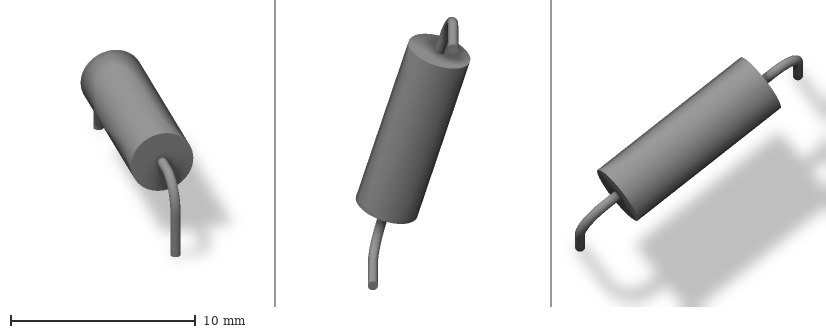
import cadquery as cq

body_diameter = 3.5
body_length = 10.0
lead_diameter = 0.55
lead_pitch = 15.24
lead_drop = 2.6

axis_height = body_diameter / 2
bend_radius = axis_height
half_pitch = lead_pitch / 2


def make_body():
    """Plain cylinder centred on X = 0."""
    return (
        cq.Workplane("YZ", origin=(-body_length / 2, 0, axis_height))
        .circle(body_diameter / 2)
        .extrude(body_length)
    )


def make_lead(side):
    """Round wire leaving one end face and bent down; side is -1 or +1 along X."""
    face_x = side * body_length / 2
    bend_start_x = side * (half_pitch - bend_radius)
    lead_x = side * half_pitch
    path = (
        cq.Workplane("XZ")
        .moveTo(face_x, axis_height)
        .lineTo(bend_start_x, axis_height)
        .tangentArcPoint((lead_x, axis_height - bend_radius), relative=False)
        .lineTo(lead_x, -lead_drop)
    )
    return (
        cq.Workplane("YZ", origin=(face_x, 0, axis_height))
        .circle(lead_diameter / 2)
        .sweep(path)
    )


result = make_body()
for side in (-1, 1):
    result = result.union(make_lead(side))